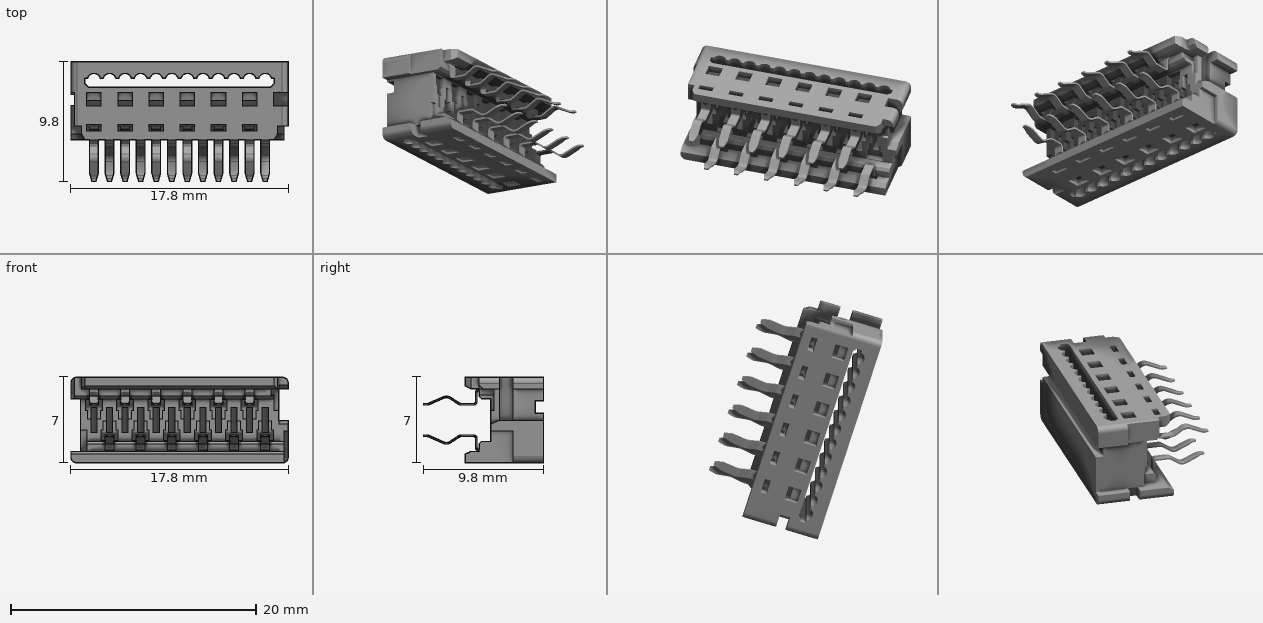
import cadquery as cq
import math


LENGTH = 17.75
HEIGHT = 7.0
PIN_REACH = 9.8
MID_Z = HEIGHT / 2
HALF_LENGTH = LENGTH / 2

PIN_COUNT = 12
PITCH = 1.27
PIN_X = [(i - (PIN_COUNT - 1) / 2) * PITCH for i in range(PIN_COUNT)]
UPPER_PIN_X = PIN_X[0::2]
LOWER_PIN_X = PIN_X[1::2]

CORE_HALF_LENGTH = 8.1
CORE_DEPTH = 4.33
RECESS_DEPTH = 4.06
LEDGE_DEPTH = 5.27
PLATE_DEPTH = 6.4
PLATE_THICKNESS = 0.95
PLATE_EDGE_HEIGHT = 0.72
PLATE_BEVEL_DEPTH = 5.93
EDGE_RADIUS = 0.5
LEDGE_HEIGHT = 1.77
LEDGE_CHAMFER = 0.22
SIDE_STEP = 0.3
STEP_START = 2.515
STEPPED_HALF_LENGTH = HALF_LENGTH - SIDE_STEP

UPPER_PLATE_Z = HEIGHT - PLATE_THICKNESS
UPPER_LEDGE_Z = HEIGHT - LEDGE_HEIGHT
NOSE_HALF_LENGTH = 8.0
NOSE_TIP_HALF_LENGTH = 7.7
LOWER_LEDGE_LEFT = -7.54
UPPER_LEDGE_RIGHT = 7.7
LOWER_PLATE_RIGHT = 8.53

RAIL_TOP = 3.475
RAIL_DROP = 0.3
LEAD_IN = 0.3
RAIL_STEP_TOP = 2.59

CORNER_RECESS_HEIGHT = 2.7
LEDGE_NOTCH_X = 7.475
LEDGE_NOTCH_Z = 5.54

BACK_GROOVE_BOTTOM = 4.07
BACK_GROOVE_TOP = 5.06
BACK_GROOVE_DEPTH = 0.67
KEY_SLOT_X = 7.645
LEFT_KEY_SLOT_START = 2.7
LEFT_KEY_SLOT_END = 3.57
WINDOW_START = STEP_START
WINDOW_END = 3.61
RIGHT_KEY_SLOT_START = WINDOW_START
RIGHT_KEY_SLOT_END = WINDOW_END
WINDOW_WIDTH = 1.19
WINDOW_FLOOR = 0.6
WINDOW_STEP = 3.17
WINDOW_DEEP_FLOOR = 1.2
PIN_WINDOW_START = 5.15
PIN_WINDOW_END = 5.65

CABLE_SLOT_HALF = 7.72
CABLE_SLOT_BACK = 1.37
CABLE_SLOT_FRONT = 2.08
CABLE_SLOT_CHAMFER = 0.28
WIRE_RADIUS = 0.53
WIRE_CENTER = 1.51

POCKET_WIDTH = 1.37
POCKET_OUTER = 1.83
POCKET_STEP = 2.7
POCKET_INNER = 3.42
POCKET_NECK_WIDTH = 1.05
POCKET_FLOOR = 3.83
BLADE_SLOT_WIDTH = 0.51
BLADE_SLOT_HEIGHT = 2.04

PIN_THICKNESS = 0.14
PIN_WIDTH = 0.73
PIN_TIP_WIDTH = 0.33
PIN_ROOT_DEPTH = 4.6
PIN_LEG_DEPTH = 5.49
PIN_ROOT_Z = 5.97
PIN_TAIL_Z = 4.786
PIN_RISE_DEPTH = 6.83
PIN_CREST_DEPTH = 7.87
PIN_CREST_Z = 5.47
PIN_FALL_DEPTH = 9.43
PIN_TAPER_DEPTH = 9.1
PIN_LEG_RADIUS = 0.23
PIN_RISE_RADIUS = 0.42
PIN_CREST_RADIUS = 0.6


def block(x_range, depth_range, z_range):
    """Box between two X limits, two depths and two heights."""
    (x0, x1), (d0, d1), (z0, z1) = x_range, depth_range, z_range
    return cq.Workplane("XY").box(x1 - x0, d1 - d0, z1 - z0, centered=False).translate((x0, -d1, z0))


def side_prism(x_range, depth_z_points):
    """Outline of (depth, z) points extruded between two X limits."""
    x0, x1 = x_range
    points = [(-depth, z) for depth, z in depth_z_points]
    return cq.Workplane("YZ").workplane(offset=x0).polyline(points).close().extrude(x1 - x0)


def mirrored(shape):
    """Copy of a shape turned upside down about mid height."""
    return shape.mirror("XY", (0, 0, MID_Z))


def stagger(upper_shape):
    """A shape made for x = 0 in the upper row, repeated over both rows."""
    lower_shape = mirrored(upper_shape)
    copies = [upper_shape.translate((x, 0, 0)) for x in UPPER_PIN_X]
    copies += [lower_shape.translate((x, 0, 0)) for x in LOWER_PIN_X]
    return copies


def ledge_profile(outer_z, direction):
    """Ledge cross-section, growing from outer_z in the given Z direction."""
    inner_z = outer_z + direction * LEDGE_HEIGHT
    return [
        (0, outer_z),
        (LEDGE_DEPTH, outer_z),
        (LEDGE_DEPTH, inner_z - direction * LEDGE_CHAMFER),
        (LEDGE_DEPTH - LEDGE_CHAMFER, inner_z),
        (0, inner_z),
    ]


def plate_profile(outer_z, direction):
    """Outer plate cross-section with its bevelled front edge."""
    inner_z = outer_z + direction * PLATE_THICKNESS
    return [
        (0, outer_z),
        (PLATE_DEPTH, outer_z),
        (PLATE_DEPTH, outer_z + direction * PLATE_EDGE_HEIGHT),
        (PLATE_BEVEL_DEPTH, inner_z),
        (0, inner_z),
    ]


def make_upper_plate():
    """Upper plate, narrowed to a nose forward of the ledge."""
    plate = side_prism((-HALF_LENGTH, HALF_LENGTH), plate_profile(HEIGHT, -1))
    outline = [
        (-HALF_LENGTH, 0),
        (-HALF_LENGTH, -LEDGE_DEPTH),
        (-NOSE_HALF_LENGTH, -LEDGE_DEPTH),
        (-NOSE_HALF_LENGTH, -PLATE_BEVEL_DEPTH),
        (-NOSE_TIP_HALF_LENGTH, -PLATE_DEPTH),
        (NOSE_TIP_HALF_LENGTH, -PLATE_DEPTH),
        (NOSE_HALF_LENGTH, -PLATE_BEVEL_DEPTH),
        (NOSE_HALF_LENGTH, -LEDGE_DEPTH),
        (HALF_LENGTH, -LEDGE_DEPTH),
        (HALF_LENGTH, 0),
    ]
    plate = plate.intersect(cq.Workplane("XY").polyline(outline).close().extrude(HEIGHT))
    lead_in = [
        (LEDGE_DEPTH, UPPER_PLATE_Z),
        (LEDGE_DEPTH, UPPER_PLATE_Z + LEAD_IN),
        (LEDGE_DEPTH - LEAD_IN, UPPER_PLATE_Z),
    ]
    return plate.cut(side_prism((CORE_HALF_LENGTH, HALF_LENGTH), lead_in))


def make_rail():
    """Guide rail on the +X end, sloping down from the key slot to its front."""
    profile = [
        (0, 0),
        (CORE_DEPTH, 0),
        (CORE_DEPTH, RAIL_TOP - RAIL_DROP),
        (RIGHT_KEY_SLOT_END, RAIL_TOP),
        (0, RAIL_TOP),
    ]
    return side_prism((CORE_HALF_LENGTH, HALF_LENGTH), profile)


def make_housing():
    """Solid housing before the windows, slots and pockets are cut."""
    core = block((-CORE_HALF_LENGTH, CORE_HALF_LENGTH), (0, CORE_DEPTH), (0, HEIGHT))
    left_recess = block(
        (-CORE_HALF_LENGTH, LOWER_LEDGE_LEFT),
        (RECESS_DEPTH, CORE_DEPTH),
        (PLATE_THICKNESS, CORNER_RECESS_HEIGHT),
    )
    right_recess = block(
        (UPPER_LEDGE_RIGHT, CORE_HALF_LENGTH),
        (RECESS_DEPTH, CORE_DEPTH),
        (HEIGHT - CORNER_RECESS_HEIGHT, UPPER_PLATE_Z),
    )
    core = core.cut(left_recess).cut(right_recess)
    upper_ledge = side_prism((-HALF_LENGTH, UPPER_LEDGE_RIGHT), ledge_profile(HEIGHT, -1))
    ledge_notch = block(
        (LEDGE_NOTCH_X, UPPER_LEDGE_RIGHT), (RECESS_DEPTH, LEDGE_DEPTH), (LEDGE_NOTCH_Z, UPPER_PLATE_Z)
    )
    lower_ledge = side_prism((LOWER_LEDGE_LEFT, LOWER_PLATE_RIGHT), ledge_profile(0, 1))
    lower_plate = side_prism((-HALF_LENGTH, HALF_LENGTH), plate_profile(0, 1))
    housing = core.union(upper_ledge).cut(ledge_notch)
    for piece in (make_upper_plate(), lower_ledge, lower_plate, make_rail()):
        housing = housing.union(piece)

    envelope = block((-HALF_LENGTH, HALF_LENGTH), (0, PLATE_DEPTH), (0, HEIGHT))
    housing = housing.intersect(envelope.edges("|Y").fillet(EDGE_RADIUS))
    left_step = block(
        (-HALF_LENGTH, -STEPPED_HALF_LENGTH), (STEP_START, PLATE_DEPTH), (UPPER_LEDGE_Z, HEIGHT)
    )
    right_step = block((LOWER_PLATE_RIGHT, HALF_LENGTH), (STEP_START, PLATE_DEPTH), (0, RAIL_STEP_TOP))
    return housing.cut(left_step).cut(right_step)


def make_cable_slot():
    """Slot for the ribbon cable, scalloped along its back side, through the full height."""
    slot = block((-CABLE_SLOT_HALF, CABLE_SLOT_HALF), (CABLE_SLOT_BACK, CABLE_SLOT_FRONT), (0, HEIGHT))
    slot = slot.edges("|Z and <Y").chamfer(CABLE_SLOT_CHAMFER)
    centers = [(x, -WIRE_CENTER) for x in PIN_X]
    return slot.union(cq.Workplane("XY").pushPoints(centers).circle(WIRE_RADIUS).extrude(HEIGHT))


def make_end_cuts():
    """Groove along the back and the key slot at each end."""
    return [
        block((-HALF_LENGTH, HALF_LENGTH), (0, BACK_GROOVE_DEPTH), (BACK_GROOVE_BOTTOM, BACK_GROOVE_TOP)),
        block((-HALF_LENGTH, -KEY_SLOT_X), (LEFT_KEY_SLOT_START, LEFT_KEY_SLOT_END), (0, PLATE_THICKNESS)),
        block((KEY_SLOT_X, HALF_LENGTH), (RIGHT_KEY_SLOT_START, RIGHT_KEY_SLOT_END), (RAIL_TOP, HEIGHT)),
    ]


def centered_block(width, depth_range, z_range):
    """Box of the given width, centred on x = 0."""
    return block((-width / 2, width / 2), depth_range, z_range)


def make_contact_cuts():
    """Windows, front pockets and blade slots belonging to the contacts."""
    window = centered_block(WINDOW_WIDTH, (WINDOW_START, WINDOW_END), (HEIGHT - WINDOW_FLOOR, HEIGHT))
    window = window.union(
        centered_block(WINDOW_WIDTH, (WINDOW_STEP, WINDOW_END), (HEIGHT - WINDOW_DEEP_FLOOR, HEIGHT))
    )
    pin_window = centered_block(WINDOW_WIDTH, (PIN_WINDOW_START, PIN_WINDOW_END), (UPPER_PLATE_Z, HEIGHT))
    pocket_depths = (POCKET_FLOOR, CORE_DEPTH)
    pocket = centered_block(POCKET_WIDTH, pocket_depths, (HEIGHT - POCKET_STEP, HEIGHT - POCKET_OUTER))
    neck = centered_block(POCKET_NECK_WIDTH, pocket_depths, (HEIGHT - POCKET_INNER, HEIGHT - POCKET_STEP))
    blade_z = (MID_Z - BLADE_SLOT_HEIGHT / 2, MID_Z + BLADE_SLOT_HEIGHT / 2)
    blade_slot = centered_block(BLADE_SLOT_WIDTH, (WIRE_CENTER, CORE_DEPTH), blade_z)
    cuts = []
    for shape in (window, pin_window, pocket, neck, blade_slot):
        cuts += stagger(shape)
    return cuts


def rounded_path(points, radii):
    """Wire through (depth, z) corners, each inner corner replaced by a tangent arc."""
    vectors = [cq.Vector(0, -depth, z) for depth, z in points]
    edges = []
    start = vectors[0]
    for before, corner, after, radius in zip(vectors, vectors[1:], vectors[2:], radii):
        toward_before = (before - corner).normalized()
        toward_after = (after - corner).normalized()
        half_angle = toward_before.getAngle(toward_after) / 2
        tangent = radius / math.tan(half_angle)
        arc_start = corner + toward_before * tangent
        arc_end = corner + toward_after * tangent
        bisector = (toward_before + toward_after).normalized()
        arc_middle = corner + bisector * (radius / math.sin(half_angle) - radius)
        edges.append(cq.Edge.makeLine(start, arc_start))
        edges.append(cq.Edge.makeThreePointArc(arc_start, arc_middle, arc_end))
        start = arc_end
    edges.append(cq.Edge.makeLine(start, vectors[-1]))
    return cq.Wire.assembleEdges(edges)


def make_pin():
    """Upper-row pin at x = 0: a bent strip with a tapered tip."""
    corners = [
        (PIN_ROOT_DEPTH, PIN_ROOT_Z),
        (PIN_LEG_DEPTH, PIN_ROOT_Z),
        (PIN_LEG_DEPTH, PIN_TAIL_Z),
        (PIN_RISE_DEPTH, PIN_TAIL_Z),
        (PIN_CREST_DEPTH, PIN_CREST_Z),
        (PIN_FALL_DEPTH, PIN_TAIL_Z),
        (PIN_REACH, PIN_TAIL_Z),
    ]
    radii = [PIN_LEG_RADIUS, PIN_LEG_RADIUS, PIN_RISE_RADIUS, PIN_CREST_RADIUS, PIN_CREST_RADIUS]
    path = rounded_path(corners, radii)
    section = cq.Workplane("XZ", origin=(0, -PIN_ROOT_DEPTH, PIN_ROOT_Z)).rect(PIN_WIDTH, PIN_THICKNESS)
    strip = section.sweep(cq.Workplane("YZ").add(path))
    outline = [
        (-PIN_WIDTH / 2, -PIN_ROOT_DEPTH),
        (-PIN_WIDTH / 2, -PIN_TAPER_DEPTH),
        (-PIN_TIP_WIDTH / 2, -PIN_REACH),
        (PIN_TIP_WIDTH / 2, -PIN_REACH),
        (PIN_WIDTH / 2, -PIN_TAPER_DEPTH),
        (PIN_WIDTH / 2, -PIN_ROOT_DEPTH),
    ]
    return strip.intersect(cq.Workplane("XY").polyline(outline).close().extrude(HEIGHT))


housing = make_housing().val()
cuts = [make_cable_slot()] + make_end_cuts() + make_contact_cuts()
housing = housing.cut(*[shape.val() for shape in cuts])
pins = [pin.val() for pin in stagger(make_pin())]
result = cq.Workplane("XY").newObject([housing.fuse(*pins).clean()]).solids()